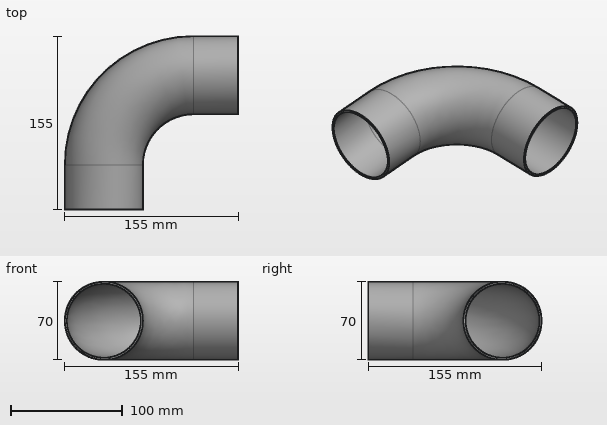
import cadquery as cq

outer_diameter = 70.0
wall_thickness = 2.0
straight_length = 40.0
bend_radius = 80.0
bend_angle = 90.0

inner_diameter = outer_diameter - 2 * wall_thickness


def tube_section(workplane):
    """Ring-shaped cross-section of the tube, centred on the workplane."""
    return workplane.circle(outer_diameter / 2).circle(inner_diameter / 2)


def inlet_tube():
    """Straight leg along Y, running from its open end at -Y to the bend."""
    open_end = cq.Workplane("XZ", origin=(0, -straight_length, 0))
    return tube_section(open_end).extrude(-straight_length)


def bend():
    """Quarter-torus elbow turning from +Y to +X about a Z-parallel axis."""
    start = cq.Workplane("XZ")
    axis_start = (bend_radius, 0)
    axis_end = (bend_radius, -1)
    return tube_section(start).revolve(bend_angle, axis_start, axis_end)


def outlet_tube():
    """Straight leg along X, running from the bend to its open end at +X."""
    bend_end = cq.Workplane("YZ", origin=(bend_radius, bend_radius, 0))
    return tube_section(bend_end).extrude(straight_length)


result = inlet_tube().union(bend()).union(outlet_tube())